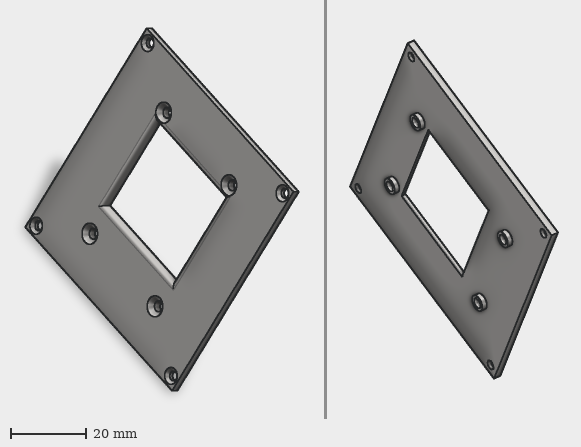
import cadquery as cq

plate_side = 68.5
plate_thickness = 2.1
tilt_from_vertical = 35.0

window_width = 31.6
window_height = 28.7
window_offset = 2.75
window_rim_radius = 1.7

corner_half_spacing = 31.45
corner_hole_diameter = 2.6
corner_sink_diameter = 4.5

boss_half_spacing_x = 15.2
boss_half_spacing_y = 20.8
boss_diameter = 4.5
boss_height = 1.5
boss_hole_diameter = 2.9
boss_sink_diameter = 5.6

sink_angle = 90.0

corner_points = [
    (sx * corner_half_spacing, sy * corner_half_spacing)
    for sx in (-1, 1)
    for sy in (-1, 1)
]
boss_points = [
    (sx * boss_half_spacing_x, sy * boss_half_spacing_y)
    for sx in (-1, 1)
    for sy in (-1, 1)
]


def make_plate():
    """Flat square plate, front face up, with the round-rimmed window."""
    plate = cq.Workplane("XY").box(plate_side, plate_side, plate_thickness)
    window = (
        cq.Workplane("XY")
        .center(0, window_offset)
        .rect(window_width, window_height)
        .extrude(plate_thickness, both=True)
    )
    rim_half_width = window_width / 2 + window_rim_radius
    rim_half_height = window_height / 2 + window_rim_radius
    rim_selector = cq.selectors.BoxSelector(
        (-rim_half_width, window_offset - rim_half_height, 0),
        (rim_half_width, window_offset + rim_half_height, plate_thickness),
    )
    return plate.cut(window).faces(">Z").edges(rim_selector).fillet(window_rim_radius)


def add_bosses(body):
    """Round bosses standing off the back face."""
    bosses = (
        cq.Workplane("XY", origin=(0, 0, -plate_thickness / 2 - boss_height))
        .pushPoints(boss_points)
        .circle(boss_diameter / 2)
        .extrude(boss_height)
    )
    return body.union(bosses)


def cut_countersunk_holes(body, points, hole_diameter, sink_diameter):
    """Through holes countersunk from the front face."""
    return (
        body.copyWorkplane(cq.Workplane("XY", origin=(0, 0, plate_thickness / 2)))
        .pushPoints(points)
        .cskHole(hole_diameter, sink_diameter, sink_angle)
    )


flat_part = add_bosses(make_plate())
flat_part = cut_countersunk_holes(
    flat_part, corner_points, corner_hole_diameter, corner_sink_diameter
)
flat_part = cut_countersunk_holes(
    flat_part, boss_points, boss_hole_diameter, boss_sink_diameter
)

result = flat_part.rotate((0, 0, 0), (1, 0, 0), 90 - tilt_from_vertical)